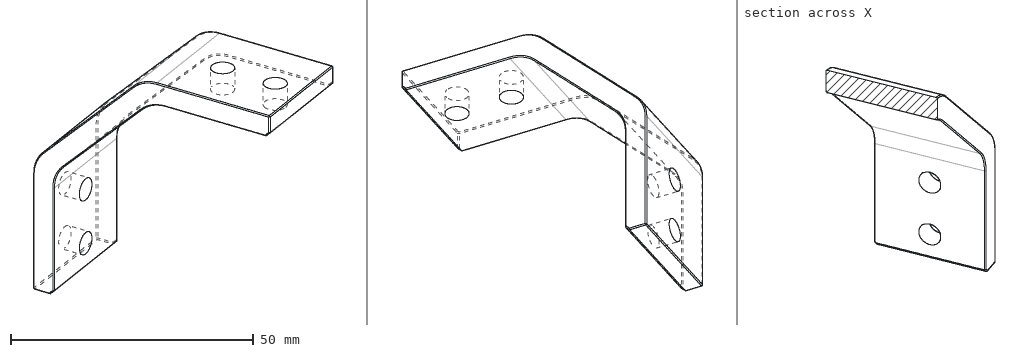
import cadquery as cq
import math

SPAN = 57.15
WIDTH = 25.4
THICKNESS = 5.0

LEG_LENGTH = 30.65
BEND_ANGLE = 45.0
BEND_RADIUS = 8.0

TIP_CHAMFER = 1.0
EDGE_CHAMFER = 0.25

HOLE_DIAMETER = 5.0
HOLE_END_DISTANCE = 6.35
HOLE_PITCH = 12.7
HOLE_OFFSETS = [HOLE_END_DISTANCE, HOLE_END_DISTANCE + HOLE_PITCH]


def make_strip():
    """Bent strip with square edges, centred on Y = 0."""
    inner_leg = LEG_LENGTH - THICKNESS * math.tan(math.radians(BEND_ANGLE / 2))
    inner_face = SPAN - THICKNESS
    outline = [
        (0, 0),
        (0, LEG_LENGTH),
        (SPAN - LEG_LENGTH, SPAN),
        (SPAN, SPAN),
        (SPAN, inner_face),
        (SPAN - inner_leg, inner_face),
        (THICKNESS, inner_leg),
        (THICKNESS, 0),
    ]
    strip = cq.Workplane("XZ").polyline(outline).close().extrude(WIDTH / 2, both=True)
    strip = fillet_bends(strip, LEG_LENGTH, 0)
    return fillet_bends(strip, inner_leg, THICKNESS)


def edge_at(x, z):
    """Selector for the Y-direction edge passing through (x, z)."""
    return cq.selectors.NearestToPointSelector((x, 0, z))


def fillet_bends(strip, leg, depth):
    """Round the two bend edges lying at the given depth below the outer faces."""
    lower_bend = edge_at(depth, leg)
    upper_bend = edge_at(SPAN - leg, SPAN - depth)
    return strip.edges("|Y").edges(lower_bend + upper_bend).fillet(BEND_RADIUS)


def chamfer_edges(strip):
    """Break the inner tip corners, then the side outlines and the outer end edges."""
    inner_tips = edge_at(THICKNESS, 0) + edge_at(SPAN, SPAN - THICKNESS)
    strip = strip.edges("|Y").edges(inner_tips).chamfer(TIP_CHAMFER)
    outer_tips = edge_at(0, 0) + edge_at(SPAN, SPAN)
    outer_tip_edges = strip.edges("|Y").edges(outer_tips)
    return strip.faces("<Y or >Y").edges().add(outer_tip_edges).chamfer(EDGE_CHAMFER)


def drill_holes(strip):
    """Drill each leg straight through, along X in the lower leg and Z in the upper."""
    radius = HOLE_DIAMETER / 2
    for offset in HOLE_OFFSETS:
        lower_start = cq.Vector(0, 0, offset)
        upper_start = cq.Vector(SPAN - offset, 0, SPAN)
        strip = strip.cut(cq.Solid.makeCylinder(radius, THICKNESS, lower_start, cq.Vector(1, 0, 0)))
        strip = strip.cut(cq.Solid.makeCylinder(radius, THICKNESS, upper_start, cq.Vector(0, 0, -1)))
    return strip


result = drill_holes(chamfer_edges(make_strip()))